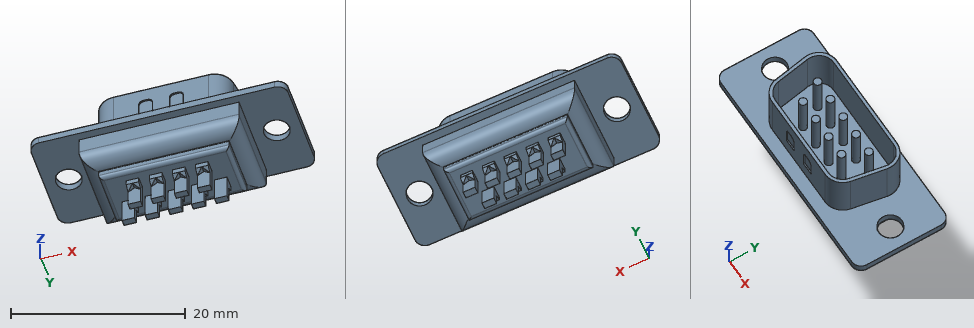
import cadquery as cq
import math


plate_length = 30.8
plate_width = 12.55
plate_thickness = 1.0
plate_corner_radius = 1.25
mounting_hole_diameter = 3.08
mounting_hole_spacing = 24.95

shell_height = 6.07
shell_width = 9.2
shell_long_side = 18.7
shell_side_angle = 10.0
shell_corner_radius = 2.4
shell_wall = 0.43
shell_floor_z = 0.0

recess_width = 1.63
recess_bottom_z = 1.9
recess_top_z = 4.25
recess_corner_radius = 0.62
recess_depth = 0.2
recess_spacing = 3.7

body_length = 19.2
body_width = 10.65
body_height = 4.13
body_end_radius = 1.8
body_side_radius = 1.97

step_length = 15.65
step_width = 6.95
step_height = 1.23
step_radius = 0.5

contact_pitch = 2.77
row_spacing = 2.83
row_counts = {1: 5, -1: 4}
pin_diameter = 1.02
pin_top_z = 5.58

total_height = 15.75
tab_width = 1.5
tab_inner_y = 0.68
tab_waist_y = 1.45
tab_outer_y = 2.2
tab_shoulder_height = 0.68
tab_slope_height = 0.5

body_top_z = -plate_thickness
step_top_z = body_top_z - body_height
tab_top_z = step_top_z - step_height
tab_bottom_z = shell_height - total_height


def make_plate():
    plate = cq.Workplane("XY").workplane(offset=-plate_thickness).rect(plate_length, plate_width)
    plate = plate.extrude(plate_thickness).edges("|Z").fillet(plate_corner_radius)
    hole_x = mounting_hole_spacing / 2
    holes = cq.Workplane("XY").pushPoints([(-hole_x, 0), (hole_x, 0)])
    return plate.cut(holes.circle(mounting_hole_diameter / 2).extrude(-plate_thickness))


def d_prism(inset, bottom_z, top_z):
    """Rounded D-shaped prism, drawn in from the shell's outer face by the inset."""
    lean = math.radians(shell_side_angle)
    half_width = shell_width / 2 - inset
    mid_half_length = (shell_long_side - shell_width * math.tan(lean)) / 2 - inset / math.cos(lean)
    long_half = mid_half_length + half_width * math.tan(lean)
    short_half = mid_half_length - half_width * math.tan(lean)
    corners = [
        (-long_half, half_width),
        (long_half, half_width),
        (short_half, -half_width),
        (-short_half, -half_width),
    ]
    prism = cq.Workplane("XY").workplane(offset=bottom_z).polyline(corners).close()
    return prism.extrude(top_z - bottom_z).edges("|Z").fillet(shell_corner_radius - inset)


def make_recess(x):
    recess = cq.Workplane("XY").box(
        recess_width, recess_depth, recess_top_z - recess_bottom_z, centered=(True, False, False)
    )
    recess = recess.edges("|Y and >Z").fillet(recess_corner_radius)
    return recess.translate((x, -shell_width / 2, recess_bottom_z))


def rounded_block(length, width, height, end_radius, side_radius, top_z):
    """Block with its bottom edges rounded, the ends and the sides each by their own radius."""
    block = cq.Workplane("XY").box(length, width, height, centered=(True, True, False))
    rounded_ends = block.edges("|Y and <Z").fillet(end_radius)
    rounded_sides = block.edges("|X and <Z").fillet(side_radius)
    return rounded_ends.intersect(rounded_sides).translate((0, 0, top_z - height))


def make_pin(x, row_side):
    pin = cq.Workplane("XY").center(x, row_side * row_spacing / 2)
    return pin.circle(pin_diameter / 2).extrude(pin_top_z)


def make_tab(x, row_side):
    """Stepped tab whose sloped shoulder is notched by a gable-shaped cut above the waist."""
    shoulder_z = tab_top_z - tab_shoulder_height
    waist_z = shoulder_z - tab_slope_height
    profile = [
        (tab_inner_y, tab_top_z),
        (tab_outer_y, tab_top_z),
        (tab_outer_y, shoulder_z),
        (tab_waist_y, waist_z),
        (tab_waist_y, tab_bottom_z),
        (tab_inner_y, tab_bottom_z),
    ]
    points = [(row_side * y, z) for y, z in profile]
    tab = cq.Workplane("YZ").polyline(points).close().extrude(tab_width / 2, both=True)
    gable = cq.Workplane("XZ", origin=(0, row_side * tab_waist_y, 0))
    gable = gable.polyline([(-tab_width / 2, waist_z), (0, shoulder_z), (tab_width / 2, waist_z)]).close()
    notch = gable.extrude(-row_side * (tab_outer_y - tab_waist_y))
    return tab.cut(notch).translate((x, 0, 0))


result = make_plate()
result = result.union(d_prism(0, 0, shell_height))
result = result.cut(d_prism(shell_wall, shell_floor_z, shell_height))
for recess_x in (-recess_spacing / 2, recess_spacing / 2):
    result = result.cut(make_recess(recess_x))

result = result.union(
    rounded_block(body_length, body_width, body_height, body_end_radius, body_side_radius, body_top_z)
)
result = result.union(
    rounded_block(step_length, step_width, step_height, step_radius, step_radius, step_top_z)
)

for row_side, count in row_counts.items():
    for index in range(count):
        contact_x = (index - (count - 1) / 2) * contact_pitch
        result = result.union(make_pin(contact_x, row_side))
        result = result.union(make_tab(contact_x, row_side))